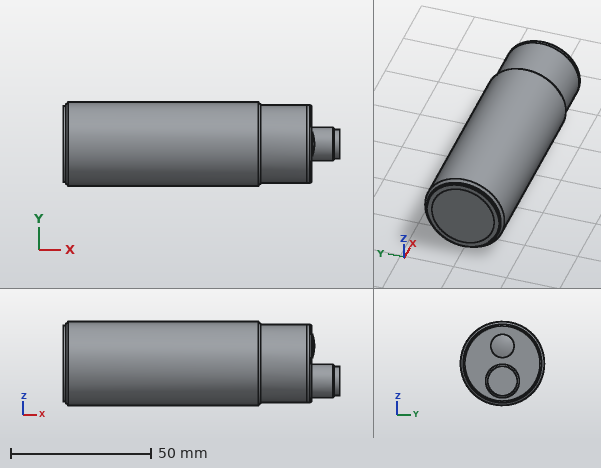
import cadquery as cq
import math

total_length = 98.8

housing_diameter = 30.0
rear_sleeve_diameter = 28.0
front_lip_diameter = 27.2
front_lip_length = 0.9
end_chamfer = (housing_diameter - rear_sleeve_diameter) / 2
shoulder_x = 70.6
sleeve_end_x = 86.9

disc_diameter = 23.5
disc_thickness = front_lip_length

end_cap_thickness = 1.8
end_cap_chamfer = 0.6
end_face_x = sleeve_end_x + end_cap_thickness

rear_fitting_offset = 6.25
connector_diameter = 12.0
connector_tip_diameter = 10.5
connector_tip_length = 2.0
connector_cone_length = 0.6

button_diameter = 8.3
button_rim_height = 0.3
dome_height = 0.75


def cylinder_along_x(diameter, start_x, length):
    """Round bar on the main axis, running along X from start_x."""
    return cq.Workplane("YZ", origin=(start_x, 0, 0)).circle(diameter / 2).extrude(length)


def make_housing():
    """Chamfered barrel with a rear sleeve and a front lip, recessed for the disc."""
    barrel_length = shoulder_x - front_lip_length
    barrel = cylinder_along_x(housing_diameter, front_lip_length, barrel_length)
    barrel = barrel.faces("<X or >X").edges().chamfer(end_chamfer)
    lip = cylinder_along_x(front_lip_diameter, 0, front_lip_length)
    sleeve = cylinder_along_x(rear_sleeve_diameter, shoulder_x, sleeve_end_x - shoulder_x)
    disc_recess = cylinder_along_x(disc_diameter, 0, disc_thickness)
    return barrel.union(lip).union(sleeve).cut(disc_recess)


def make_sensing_disc():
    """Flat disc that fills the recess in the front lip."""
    return cylinder_along_x(disc_diameter, 0, disc_thickness)


def make_end_cap():
    """Plate of the sleeve's diameter with a chamfered rear rim."""
    plate = cylinder_along_x(rear_sleeve_diameter, sleeve_end_x, end_cap_thickness)
    return plate.faces(">X").edges().chamfer(end_cap_chamfer)


def make_connector():
    """Round plug below the main axis, with a cone from its body down to its tip."""
    tip_start_x = total_length - connector_tip_length
    cone_start_x = tip_start_x - connector_cone_length
    body_radius = connector_diameter / 2
    tip_radius = connector_tip_diameter / 2
    half_profile = (
        cq.Workplane("XZ", origin=(0, 0, -rear_fitting_offset))
        .moveTo(end_face_x, 0)
        .lineTo(end_face_x, body_radius)
        .lineTo(cone_start_x, body_radius)
        .lineTo(tip_start_x, tip_radius)
        .lineTo(total_length, tip_radius)
        .lineTo(total_length, 0)
        .close()
    )
    return half_profile.revolve(360, (0, 0), (1, 0))


def make_button():
    """Short round rim with a shallow spherical dome, above the main axis."""
    rim_radius = button_diameter / 2
    dome_radius = (rim_radius**2 + dome_height**2) / (2 * dome_height)
    half_sweep = math.asin(rim_radius / dome_radius) / 2
    dome_top_x = button_rim_height + dome_height
    arc_middle_x = dome_top_x - dome_radius * (1 - math.cos(half_sweep))
    arc_middle_z = dome_radius * math.sin(half_sweep)
    half_profile = (
        cq.Workplane("XZ", origin=(end_face_x, 0, rear_fitting_offset))
        .lineTo(dome_top_x, 0)
        .threePointArc((arc_middle_x, arc_middle_z), (button_rim_height, rim_radius))
        .lineTo(0, rim_radius)
        .close()
    )
    return half_profile.revolve(360, (0, 0), (1, 0))


housing = make_housing()
sensing_disc = make_sensing_disc()
end_cap = make_end_cap()
connector = make_connector()
button = make_button()

result = cq.Compound.makeCompound(
    [
        housing.val(),
        sensing_disc.val(),
        end_cap.val(),
        connector.val(),
        button.val(),
    ]
)